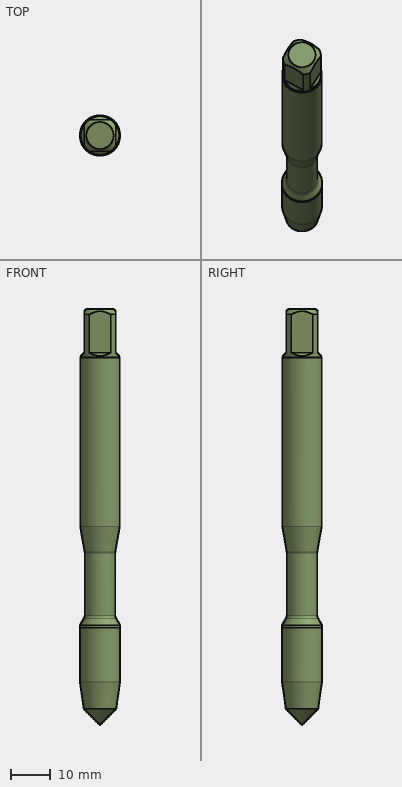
import cadquery as cq
import math


overall_length = 104.3

thread_diameter = 10.14
lead_end_diameter = 8.2
point_half_angle = 45
lead_top = 10.9
cutting_end_top = 24.4

collar_top = 25.05
collar_half_angle = 30
neck_diameter = 7.7
neck_fillet = 1.35
shank_diameter = 10.0
shank_bottom = 49.8
shank_taper_half_angle = 10

drive_diameter = 9.6
drive_across_flats = 8.0
drive_flat_length = 11.0
drive_length = 12.3
drive_top_diameter = 6.8
drive_top_chamfer_height = 1.4
flat_runout_angle = 45

thread_radius = thread_diameter / 2
neck_radius = neck_diameter / 2
shank_radius = shank_diameter / 2
drive_radius = drive_diameter / 2


def cone_height(large_radius, small_radius, half_angle):
    """Axial length of a cone between two radii, for an angle measured from its axis."""
    return (large_radius - small_radius) / math.tan(math.radians(half_angle))


def turned(profile):
    """Solid of revolution about Z from (radius, z) points that start and end on the axis."""
    return cq.Workplane("XZ").polyline(profile).close().revolve(360, (0, 0, 0), (0, 1, 0))


def make_cutting_end():
    """Conical point, tapered lead and full-diameter thread cylinder."""
    lead_end_radius = lead_end_diameter / 2
    point_height = cone_height(lead_end_radius, 0, point_half_angle)
    return turned([
        (0, 0),
        (lead_end_radius, point_height),
        (thread_radius, lead_top),
        (thread_radius, cutting_end_top),
        (0, cutting_end_top),
    ])


def make_flat_cutter():
    """Material outside the +X drive flat, with the sloped run-out below the flat."""
    flat_distance = drive_across_flats / 2
    flat_bottom = overall_length - drive_flat_length
    reach = shank_diameter
    runout_drop = (reach - flat_distance) * math.tan(math.radians(flat_runout_angle))
    return (
        cq.Workplane("XZ")
        .moveTo(flat_distance, overall_length)
        .lineTo(flat_distance, flat_bottom)
        .lineTo(reach, flat_bottom - runout_drop)
        .lineTo(reach, overall_length)
        .close()
        .extrude(shank_radius, both=True)
    )


def make_shank():
    """Collar, relieved neck, cylindrical shank and square drive."""
    neck_bottom = collar_top + cone_height(thread_radius, neck_radius, collar_half_angle)
    neck_top = shank_bottom - cone_height(shank_radius, neck_radius, shank_taper_half_angle)
    shank_top = overall_length - drive_length
    drive_bottom = shank_top + shank_radius - drive_radius
    shank = turned([
        (0, cutting_end_top),
        (thread_radius, cutting_end_top),
        (thread_radius, collar_top),
        (neck_radius, neck_bottom),
        (neck_radius, neck_top),
        (shank_radius, shank_bottom),
        (shank_radius, shank_top),
        (drive_radius, drive_bottom),
        (drive_radius, overall_length - drive_top_chamfer_height),
        (drive_top_diameter / 2, overall_length),
        (0, overall_length),
    ])
    neck_ends = cq.selectors.BoxSelector(
        (-neck_diameter, -neck_diameter, neck_bottom - neck_fillet),
        (neck_diameter, neck_diameter, neck_top + neck_fillet),
        boundingbox=True,
    )
    shank = shank.edges("%CIRCLE").edges(neck_ends).fillet(neck_fillet)
    flat_cutter = make_flat_cutter()
    for flat_angle in range(0, 360, 90):
        shank = shank.cut(flat_cutter.rotate((0, 0, 0), (0, 0, 1), flat_angle))
    return shank


cutting_end = make_cutting_end()
shank = make_shank()

result = cq.Compound.makeCompound([cutting_end.val(), shank.val()])